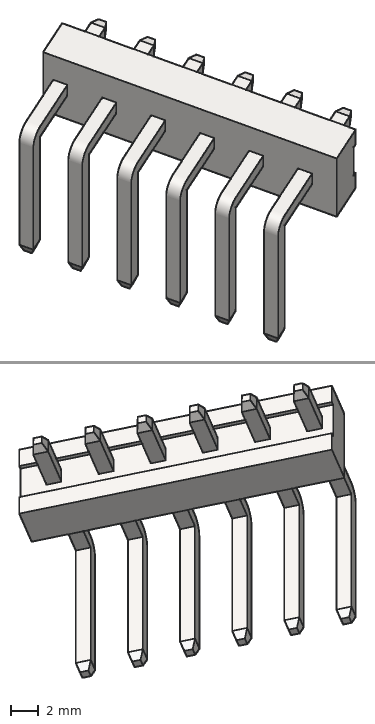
import cadquery as cq


body_length = 23.75
body_depth = 3.15
body_height = 6.35
groove_height = 3.1
groove_depth = 0.3

pin_count = 6
pin_pitch = body_length / pin_count
first_pin_inset = 1.4
pin_width = 1.15
tip_length = 0.75
tip_width = 0.65

total_depth = 12.65
total_height = 15.63
rear_reach = 3.83

rear_tip_y = body_depth / 2 + rear_reach
leg_front_y = rear_tip_y - total_depth
leg_axis_y = leg_front_y + pin_width / 2
leg_tip_z = body_height / 2 - total_height
first_pin_x = -body_length / 2 + first_pin_inset


def make_housing():
    """Rectangular bar with a shallow groove along its rear face."""
    bar = cq.Workplane("XY").box(body_length, body_depth, body_height)
    groove = (
        cq.Workplane("XY")
        .box(body_length, groove_depth, groove_height)
        .translate((0, (body_depth - groove_depth) / 2, 0))
    )
    return bar.cut(groove)


def make_tip(base, direction):
    """Square frustum that narrows from the pin section along the given direction."""
    plane = cq.Plane(origin=base, xDir=(1, 0, 0), normal=direction)
    return (
        cq.Workplane(plane)
        .rect(pin_width, pin_width)
        .workplane(offset=tip_length)
        .rect(tip_width, tip_width)
        .loft(ruled=True)
    )


def make_pin():
    """L-shaped pin at X = 0: rounded outside the bend, sharp inside, tapered at both ends."""
    half = pin_width / 2
    rear_shoulder_y = rear_tip_y - tip_length
    leg_shoulder_z = leg_tip_z + tip_length
    bend_inner_y = leg_front_y + pin_width
    shank = (
        cq.Workplane("YZ")
        .moveTo(rear_shoulder_y, half)
        .lineTo(bend_inner_y, half)
        .radiusArc((leg_front_y, -half), -pin_width)
        .lineTo(leg_front_y, leg_shoulder_z)
        .lineTo(bend_inner_y, leg_shoulder_z)
        .lineTo(bend_inner_y, -half)
        .lineTo(rear_shoulder_y, -half)
        .close()
        .extrude(half, both=True)
    )
    rear_tip = make_tip((0, rear_shoulder_y, 0), (0, 1, 0))
    leg_tip = make_tip((0, leg_axis_y, leg_shoulder_z), (0, 0, -1))
    return shank.union(rear_tip).union(leg_tip)


result = make_housing()
pin = make_pin()
for index in range(pin_count):
    result = result.union(pin.translate((first_pin_x + index * pin_pitch, 0, 0)))